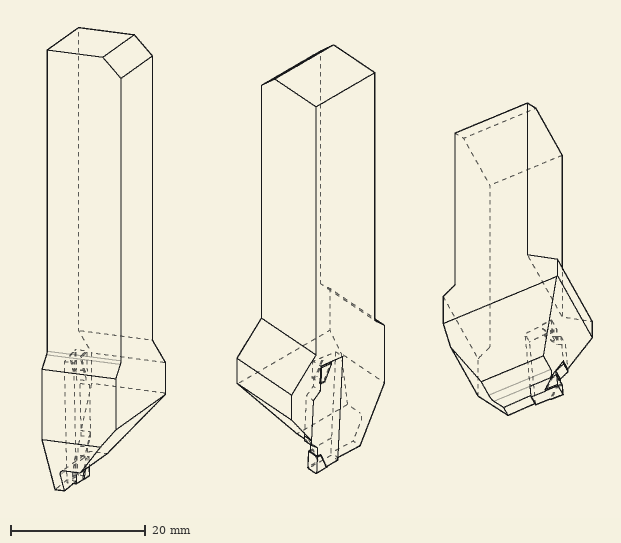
import cadquery as cq
import math


total_height = 70.0
shank_size = 12.0
shank_chamfer = 2.95
head_front = -1.95
head_back = 16.95
shoulder_z = 22.6
shoulder_fillet = 0.7
head_front_top_z = shoulder_z + head_front
head_front_bottom_z = 9.65
head_back_top_z = shoulder_z - (head_back - shank_size)
head_back_bottom_z = 12.9
nose_front_y = 3.0
nose_front_z = 0.35
nose_back_y = 8.9
nose_back_z = 0.6

taper_top_z = 12.7
blade_shoulder_x = 5.0
blade_shoulder_z = 4.2
blade_thickness = 1.55
blade_fillet = 0.85

tip_overhang = 0.2
insert_tilt = 3.0
insert_length = 19.95
insert_depth = 4.5
end_relief = 4.5
tip_length = 3.15
tip_root_depth = 2.1
tip_heel_depth = 0.8
neck_recess = 0.15
neck_length = 4.7
belly_height = 1.3
belly_length = 5.8
tip_corner_y = 12.05
end_bevel = 0.15

half_length = insert_length / 2
relief_slope = math.tan(math.radians(end_relief))
tilt = math.radians(insert_tilt)


def place(u, v):
    """Turn insert coordinates into (y, z), with the lower tip corner at z = 0."""
    height = v + half_length
    y = tip_corner_y - u * math.cos(tilt) - height * math.sin(tilt)
    z = height * math.cos(tilt) - u * math.sin(tilt)
    return y, z


def plate(points, x_start, x_end):
    """Extrude a (y, z) outline from x_start to x_end."""
    return cq.Workplane("YZ", origin=(x_start, 0, 0)).polyline(points).close().extrude(x_end - x_start)


def both_ends(half_outline):
    """Mirror the lower half of an insert outline onto its upper half."""
    return half_outline + [(u, -v) for u, v in reversed(half_outline)]


def make_insert():
    back_end = half_length - insert_depth * relief_slope
    root_end = half_length - tip_root_depth * relief_slope
    lower_half = [
        (insert_depth, -back_end),
        (0, -half_length),
        (0, tip_length - half_length),
        (neck_recess, tip_length - half_length),
        (neck_recess, neck_length - half_length),
        (-belly_height + neck_recess, belly_length - half_length),
    ]
    body = plate([place(u, v) for u, v in both_ends(lower_half)], 0, blade_thickness)
    for end in (-1, 1):
        tip = [
            (0, end * half_length),
            (0, end * (half_length - tip_length)),
            (tip_heel_depth, end * (half_length - tip_length)),
            (tip_root_depth, end * root_end),
        ]
        tip_block = plate([place(u, v) for u, v in tip], -tip_overhang, blade_thickness + tip_overhang)
        end_face = tip_block.faces("<Z" if end < 0 else ">Z")
        tip_block = end_face.edges("<X or >X").chamfer(end_bevel)
        body = body.union(tip_block)
    return body


def make_holder(insert):
    side_outline = [
        (0, total_height),
        (0, shoulder_z),
        (head_front, head_front_top_z),
        (head_front, head_front_bottom_z),
        (nose_front_y, nose_front_z),
        (nose_back_y, nose_back_z),
        (head_back, head_back_bottom_z),
        (head_back, head_back_top_z),
        (shank_size, shoulder_z),
        (shank_size, total_height),
    ]
    holder = plate(side_outline, 0, shank_size)
    shoulder_point = (shank_size / 2, 0, shoulder_z)
    holder = holder.edges(cq.NearestToPointSelector(shoulder_point)).fillet(shoulder_fillet)

    front_outline = [
        (0, 0),
        (blade_thickness, 0),
        (blade_thickness, blade_shoulder_z),
        (blade_shoulder_x, blade_shoulder_z),
        (shank_size, taper_top_z),
        (shank_size, total_height - shank_chamfer),
        (shank_size - shank_chamfer, total_height),
        (0, total_height),
    ]
    front_profile = (
        cq.Workplane("XZ", origin=(0, head_back, 0))
        .polyline(front_outline)
        .close()
        .extrude(head_back - head_front)
    )
    blade_root = (blade_thickness, (head_front + head_back) / 2, blade_shoulder_z)
    front_profile = front_profile.edges(cq.NearestToPointSelector(blade_root)).fillet(blade_fillet)

    return holder.intersect(front_profile).cut(insert)


insert = make_insert()
holder = make_holder(insert)

result = cq.Compound.makeCompound([holder.solids().val(), insert.solids().val()])